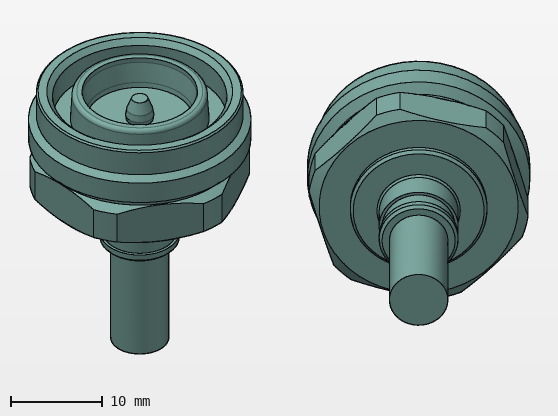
import cadquery as cq
import math

total_height = 32.8

sleeve_radius = 11.25
sleeve_edge_chamfer = 0.2
sleeve_bottom_z = 29.7
band_radius = 12.1
band_top_z = 29.15
band_bottom_z = 26.57
neck_radius = 10.92
neck_top_z = 25.95

hex_across_flats = 22.0
hex_corner_radius = 12.0
hex_top_z = 25.4
hex_bottom_z = 20.37
hex_top_end_radius = neck_radius
hex_bottom_end_radius = 10.82
hex_chamfer_angle = 30.0

socket_floor_z = 29.22
socket_radius = 9.48
socket_mouth_radius = 10.1
socket_mouth_depth = 0.62

ring_top_z = total_height
ring_base_radius = 7.55
ring_top_radius = 7.35
ring_edge_fillet = 0.52
ring_mouth_radius = 6.25
ring_mouth_depth = 0.6
ring_throat_radius = 5.87
ring_throat_z = 29.8
ring_foot_radius = 5.77

pin_radius = 1.55
pin_root_radius = 1.48
pin_shoulder_radius = 1.4
pin_tip_radius = 0.9
pin_tip_z = 31.88
pin_shoulder_z = 30.55
pin_widest_z = 29.72

flange_radius = 7.45
flange_bottom_z = 19.5
flange_edge_chamfer = 0.33
body_radius = 4.3
body_root_chamfer = 0.23
body_bottom_z = 16.05
groove_radius = 3.97
collar_top_z = 14.0
collar_bottom_z = 13.0
collar_edge_chamfer = 0.33
tube_radius = 3.18


def cylinder(radius, bottom_z, top_z):
    return cq.Workplane("XY").workplane(offset=bottom_z).circle(radius).extrude(top_z - bottom_z)


def revolve_profile(points):
    """Turn an outline of (radius, z) points about the Z axis."""
    return cq.Workplane("XZ").polyline(points).close().revolve(360, (0, 0, 0), (0, 1, 0))


def make_sleeve():
    """Sleeve, grip band and neck, with a chamfered socket opening upwards."""
    outside = revolve_profile([
        (0, hex_top_z),
        (neck_radius, hex_top_z),
        (neck_radius, neck_top_z),
        (band_radius, band_bottom_z),
        (band_radius, band_top_z),
        (sleeve_radius, sleeve_bottom_z),
        (sleeve_radius, total_height - sleeve_edge_chamfer),
        (sleeve_radius - sleeve_edge_chamfer, total_height),
        (0, total_height),
    ])
    socket = revolve_profile([
        (0, socket_floor_z),
        (socket_radius, socket_floor_z),
        (socket_radius, total_height - socket_mouth_depth),
        (socket_mouth_radius, total_height),
        (0, total_height),
    ])
    return outside.cut(socket)


def make_hexagon():
    """Hexagon with flats facing +Y and -Y, its corners turned round and coned at both ends."""
    slope = math.tan(math.radians(hex_chamfer_angle))
    top_chamfer = (hex_corner_radius - hex_top_end_radius) * slope
    bottom_chamfer = (hex_corner_radius - hex_bottom_end_radius) * slope
    across_corners = hex_across_flats / math.cos(math.pi / 6)
    prism = (
        cq.Workplane("XY")
        .workplane(offset=hex_bottom_z)
        .polygon(6, across_corners)
        .extrude(hex_top_z - hex_bottom_z)
    )
    envelope = revolve_profile([
        (0, hex_bottom_z),
        (hex_bottom_end_radius, hex_bottom_z),
        (hex_corner_radius, hex_bottom_z + bottom_chamfer),
        (hex_corner_radius, hex_top_z - top_chamfer),
        (hex_top_end_radius, hex_top_z),
        (0, hex_top_z),
    ])
    return prism.intersect(envelope)


def make_contact_ring():
    """Slightly flared ring with a rounded outer rim and a tapered bore."""
    ring = revolve_profile([
        (0, socket_floor_z),
        (ring_base_radius, socket_floor_z),
        (ring_top_radius, ring_top_z),
        (0, ring_top_z),
    ])
    ring = ring.faces(">Z").edges().fillet(ring_edge_fillet)
    bore = revolve_profile([
        (0, socket_floor_z),
        (ring_foot_radius, socket_floor_z),
        (ring_throat_radius, ring_throat_z),
        (ring_mouth_radius, ring_top_z - ring_mouth_depth),
        (ring_mouth_radius, ring_top_z),
        (0, ring_top_z),
    ])
    return ring.cut(bore)


def make_pin():
    """Round pin, widest just above its root, narrowing in two tapers to a flat tip."""
    return revolve_profile([
        (0, socket_floor_z),
        (pin_root_radius, socket_floor_z),
        (pin_radius, pin_widest_z),
        (pin_shoulder_radius, pin_shoulder_z),
        (pin_tip_radius, pin_tip_z),
        (0, pin_tip_z),
    ])


def make_rear_body():
    """Flange, coned-root body, groove, collar and tube, stepping down to the base."""
    flange = cylinder(flange_radius, flange_bottom_z, hex_bottom_z)
    flange = flange.faces("<Z").edges().chamfer(flange_edge_chamfer)
    body = revolve_profile([
        (0, body_bottom_z),
        (body_radius, body_bottom_z),
        (body_radius, flange_bottom_z - body_root_chamfer),
        (body_radius + body_root_chamfer, flange_bottom_z),
        (0, flange_bottom_z),
    ])
    collar = cylinder(body_radius, collar_bottom_z, collar_top_z)
    collar = collar.faces("<Z").edges().chamfer(collar_edge_chamfer)
    return (
        flange
        .union(body)
        .union(cylinder(groove_radius, collar_top_z, body_bottom_z))
        .union(collar)
        .union(cylinder(tube_radius, 0, collar_bottom_z))
    )


result = (
    make_sleeve()
    .union(make_hexagon())
    .union(make_contact_ring())
    .union(make_pin())
    .union(make_rear_body())
)